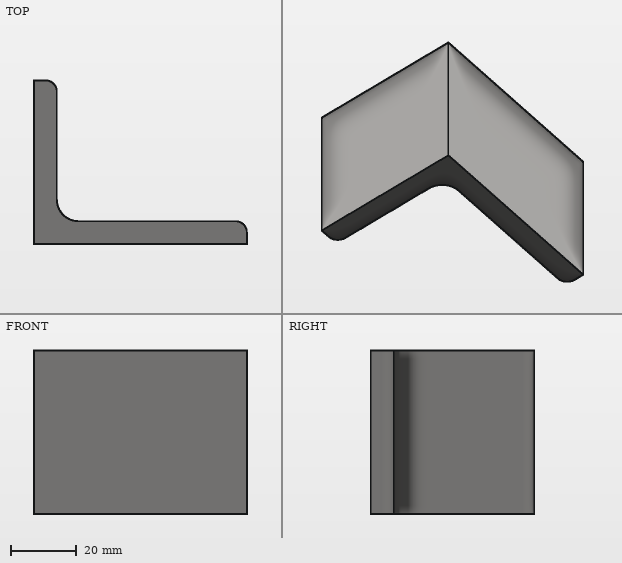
import cadquery as cq

long_leg = 65.0
short_leg = 50.0
thickness = 7.0
height = 50.0
root_radius = 6.5
toe_radius = 3.5

angle = (
    cq.Workplane("XY")
    .polyline([
        (0, 0),
        (long_leg, 0),
        (long_leg, thickness),
        (thickness, thickness),
        (thickness, short_leg),
        (0, short_leg),
    ])
    .close()
    .extrude(height)
)


def round_vertical_edge(body, x, y, radius):
    """Fillet the vertical edge that passes through (x, y)."""
    edge = cq.selectors.NearestToPointSelector((x, y, height / 2))
    return body.edges("|Z").edges(edge).fillet(radius)


angle = round_vertical_edge(angle, thickness, thickness, root_radius)
angle = round_vertical_edge(angle, long_leg, thickness, toe_radius)
angle = round_vertical_edge(angle, thickness, short_leg, toe_radius)

result = angle